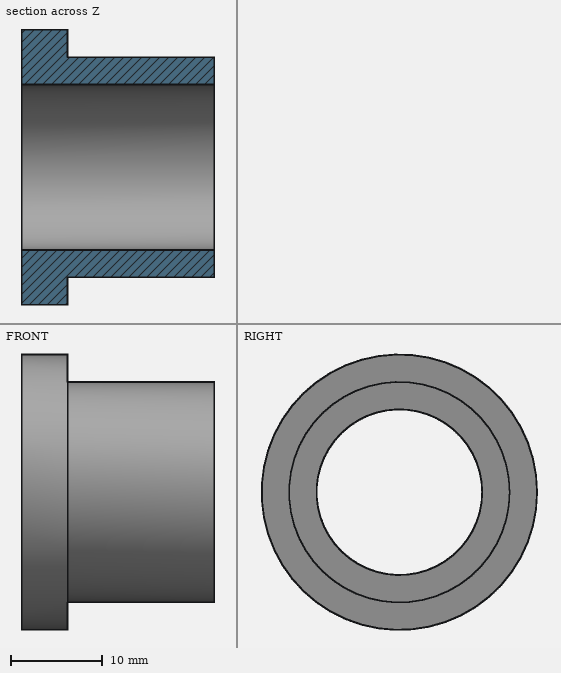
import cadquery as cq

flange_diameter = 30.0
flange_thickness = 5.0
sleeve_diameter = 24.0
bore_diameter = 18.0
total_length = 21.0

sleeve = cq.Workplane("YZ").circle(sleeve_diameter / 2).extrude(total_length)
flange = cq.Workplane("YZ").circle(flange_diameter / 2).extrude(flange_thickness)

bore = cq.Workplane("YZ").circle(bore_diameter / 2).extrude(total_length)

result = sleeve.union(flange).cut(bore)